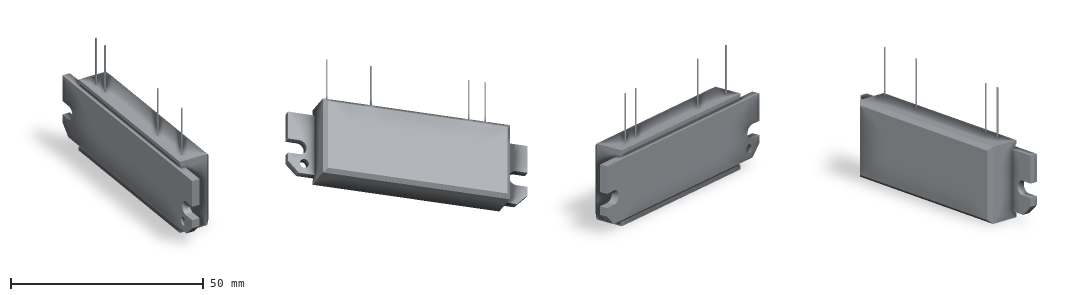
import cadquery as cq

PLATE_LENGTH = 66.0
TOTAL_DEPTH = 9.9
TOTAL_HEIGHT = 35.0

HOUSING_LENGTH = 51.5
HOUSING_HEIGHT = 21.1
HOUSING_FRONT = 0.6
BACK_CHAMFER = 1.05
LIP_HEIGHT = 1.05
LIP_DEPTH = 0.45

PLATE_HEIGHT = 16.95
PLATE_THICKNESS = 2.25
PLATE_BOTTOM = (HOUSING_HEIGHT - PLATE_HEIGHT) / 2
CORNER_CHAMFER = 3.0
SLOT_WIDTH = 3.95
SLOT_DEPTH = 5.1
SLOT_ABOVE_PLATE_BOTTOM = 7.3
HOLE_DIAMETER = 2.45
HOLE_FROM_END = 4.5
HOLE_ABOVE_PLATE_BOTTOM = 2.9

PIN_DIAMETER = 0.45
PIN_LENGTH = TOTAL_HEIGHT - HOUSING_HEIGHT
PIN_Y = 3.05
PIN_FROM_PLATE_END = [12.0, 16.5, 43.4, 55.65]


def block(length, y_start, y_end, z_start, z_end):
    """Box centred on X that spans the given Y and Z ranges."""
    return cq.Workplane("XY").box(
        length, y_end - y_start, z_end - z_start, centered=(True, False, False)
    ).translate((0, y_start, z_start))


def make_housing():
    body = block(HOUSING_LENGTH, HOUSING_FRONT, TOTAL_DEPTH, 0, HOUSING_HEIGHT)
    body = body.faces(">Y").edges().chamfer(BACK_CHAMFER)
    ledge_recess = block(
        HOUSING_LENGTH,
        HOUSING_FRONT,
        HOUSING_FRONT + LIP_DEPTH,
        LIP_HEIGHT,
        HOUSING_HEIGHT - LIP_HEIGHT,
    )
    plate_channel = block(
        HOUSING_LENGTH, HOUSING_FRONT, PLATE_THICKNESS, PLATE_BOTTOM, PLATE_BOTTOM + PLATE_HEIGHT
    )
    return body.cut(ledge_recess).cut(plate_channel)


def make_end_slot(side):
    """Round-ended slot open at the plate end on the given side (-1 or 1)."""
    slot_z = PLATE_BOTTOM + SLOT_ABOVE_PLATE_BOTTOM
    end_x = side * PLATE_LENGTH / 2
    return (
        cq.Workplane("XZ")
        .center(end_x, slot_z)
        .slot2D(2 * SLOT_DEPTH, SLOT_WIDTH)
        .extrude(-PLATE_THICKNESS)
    )


def make_plate():
    plate = block(PLATE_LENGTH, 0, PLATE_THICKNESS, PLATE_BOTTOM, PLATE_BOTTOM + PLATE_HEIGHT)
    plate = plate.edges("|Y and <Z").chamfer(CORNER_CHAMFER)
    for side in (-1, 1):
        plate = plate.cut(make_end_slot(side))
    hole = (
        cq.Workplane("XZ")
        .center(PLATE_LENGTH / 2 - HOLE_FROM_END, PLATE_BOTTOM + HOLE_ABOVE_PLATE_BOTTOM)
        .circle(HOLE_DIAMETER / 2)
        .extrude(-PLATE_THICKNESS)
    )
    return plate.cut(hole)


def make_pin(distance_from_end):
    return (
        cq.Workplane("XY", origin=(distance_from_end - PLATE_LENGTH / 2, PIN_Y, HOUSING_HEIGHT))
        .circle(PIN_DIAMETER / 2)
        .extrude(PIN_LENGTH)
    )


housing = make_housing()
plate = make_plate()
pins = [make_pin(distance) for distance in PIN_FROM_PLATE_END]

result = cq.Compound.makeCompound([housing.val(), plate.val(), *[pin.val() for pin in pins]])